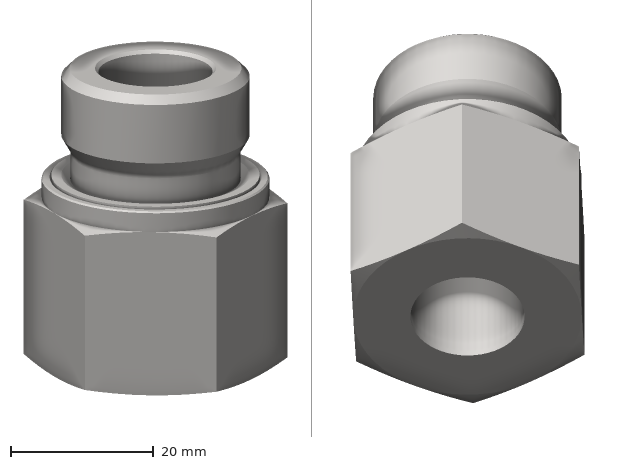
import cadquery as cq
import math

total_height = 43.0
across_flats = 32.0
across_corners = across_flats / math.cos(math.radians(30))

hex_height = 24.05
hex_chamfer_diameter = across_flats
hex_chamfer_angle = 15.0

collar_diameter = 31.9
collar_top = 27.0
collar_chamfer = 0.2
groove_outer_diameter = 29.3
groove_mouth_chamfer = 0.2
groove_depth = 2.15
groove_bottom = collar_top - groove_depth

spigot_diameter = 26.4
spigot_top_diameter = 24.1
neck_diameter = 23.8
spigot_bottom = 33.25
undercut_angle = 30.0
undercut_radius = 1.3
spigot_chamfer = (spigot_diameter - spigot_top_diameter) / 2

bore_diameter = 16.0
bore_mouth_diameter = 16.95
bore_chamfer_depth = (bore_mouth_diameter - bore_diameter) / 2

seal_outer_diameter = 29.2
seal_inner_diameter = 23.9
seal_mouth_diameter = spigot_diameter
seal_mouth_depth = 0.55
seal_top = 27.3


def make_hexagon():
    """Hexagonal prism with corners on the Y axis and both ends turned to a cone."""
    prism = cq.Workplane("XY").polygon(6, across_corners).extrude(hex_height)
    prism = prism.rotate((0, 0, 0), (0, 0, 1), 30)
    end_radius = hex_chamfer_diameter / 2
    corner_radius = across_corners / 2
    chamfer_height = (corner_radius - end_radius) * math.tan(math.radians(hex_chamfer_angle))
    turned_blank = (
        cq.Workplane("XZ")
        .moveTo(0, 0)
        .lineTo(end_radius, 0)
        .lineTo(corner_radius, chamfer_height)
        .lineTo(corner_radius, hex_height - chamfer_height)
        .lineTo(end_radius, hex_height)
        .lineTo(0, hex_height)
        .close()
        .revolve()
    )
    return prism.intersect(turned_blank)


def make_collar():
    """Round shoulder above the hexagon."""
    collar_height = collar_top - hex_height
    collar = cq.Workplane("XY").workplane(offset=hex_height).circle(collar_diameter / 2).extrude(collar_height)
    return collar.faces(">Z").edges().chamfer(collar_chamfer)


def make_spigot():
    """Neck, rounded undercut cone and chamfered cylinder, turned about Z."""
    neck_radius = neck_diameter / 2
    spigot_radius = spigot_diameter / 2
    slope = math.radians(undercut_angle)
    arc_end_radius = neck_radius + undercut_radius * (1 - math.cos(slope))
    arc_end_height = spigot_bottom - (spigot_radius - arc_end_radius) / math.tan(slope)
    arc_start_height = arc_end_height - undercut_radius * math.sin(slope)
    arc_middle = (
        neck_radius + undercut_radius * (1 - math.cos(slope / 2)),
        arc_start_height + undercut_radius * math.sin(slope / 2),
    )
    return (
        cq.Workplane("XZ")
        .moveTo(0, hex_height)
        .lineTo(neck_radius, hex_height)
        .lineTo(neck_radius, arc_start_height)
        .threePointArc(arc_middle, (arc_end_radius, arc_end_height))
        .lineTo(spigot_radius, spigot_bottom)
        .lineTo(spigot_radius, total_height - spigot_chamfer)
        .lineTo(spigot_top_diameter / 2, total_height)
        .lineTo(0, total_height)
        .close()
        .revolve()
    )


def make_bore():
    """Through bore with a chamfered mouth at the top."""
    bore_radius = bore_diameter / 2
    return (
        cq.Workplane("XZ")
        .moveTo(0, 0)
        .lineTo(bore_radius, 0)
        .lineTo(bore_radius, total_height - bore_chamfer_depth)
        .lineTo(bore_mouth_diameter / 2, total_height)
        .lineTo(0, total_height)
        .close()
        .revolve()
    )


def make_groove():
    """Ring-shaped recess around the neck, with a chamfered outer edge at its mouth."""
    inner_radius = neck_diameter / 2
    outer_radius = groove_outer_diameter / 2
    return (
        cq.Workplane("XZ")
        .moveTo(inner_radius, groove_bottom)
        .lineTo(outer_radius, groove_bottom)
        .lineTo(outer_radius, collar_top - groove_mouth_chamfer)
        .lineTo(outer_radius + groove_mouth_chamfer, collar_top)
        .lineTo(inner_radius, collar_top)
        .close()
        .revolve()
    )


def make_fitting():
    """Hexagon, collar and spigot as one turned part with bore and seal groove."""
    collar = make_collar().cut(make_groove())
    return make_hexagon().union(collar).union(make_spigot()).cut(make_bore())


def make_seal():
    """Seal ring on the groove floor, slightly proud of the collar, with a conical mouth in its top."""
    inner_radius = seal_inner_diameter / 2
    outer_radius = seal_outer_diameter / 2
    return (
        cq.Workplane("XZ")
        .moveTo(inner_radius, groove_bottom)
        .lineTo(outer_radius, groove_bottom)
        .lineTo(outer_radius, seal_top)
        .lineTo(seal_mouth_diameter / 2, seal_top)
        .lineTo(inner_radius, seal_top - seal_mouth_depth)
        .close()
        .revolve()
    )


fitting = make_fitting()
seal = make_seal()
result = cq.Compound.makeCompound([fitting.val(), seal.val()])